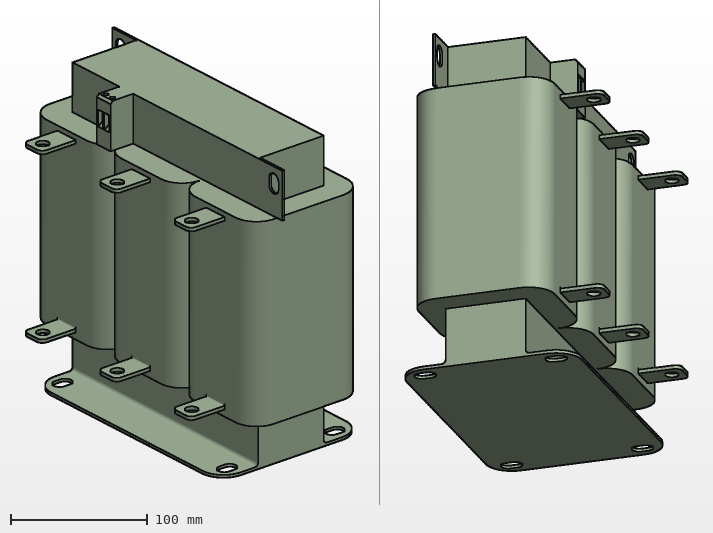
import cadquery as cq

height = 250.8
overall_depth = 154.5
core_length = 214.5
core_depth = 62.0

coil_count = 3
coil_row_length = 257.8
coil_pitch = coil_row_length / coil_count
coil_depth = 105.3
coil_center_y = -1.4
coil_corner_radius = 20.0
coil_bottom_z = 45.4
coil_top_z = 210.5
coil_front_y = coil_center_y - coil_depth / 2
coil_centers_x = [(i - (coil_count - 1) / 2) * coil_pitch for i in range(coil_count)]

base_depth = 135.5
base_center_y = 0.3
base_thickness = 2.5
base_corner_radius = 20.0
base_bend_radius = 3.0

slot_width = 11.0
slot_length = 16.2
base_slot_x = 95.0
base_slot_y = 50.8

flange_span = 270.0
flange_thickness = 2.0
flange_slot_x = 125.3
flange_slot_z = height - 13.8

lug_width = 21.0
lug_thickness = 3.0
lug_tip_y = base_center_y + base_depth / 2 - overall_depth
lug_corner_radius = 5.0
lug_hole_diameter = 10.0
lug_hole_from_tip = 10.0
lug_root_fillet = 1.0
upper_lug_z = 205.0
lower_lug_z = 52.6
lug_embed = 2.7
lower_lug_top_z = lower_lug_z + lug_thickness / 2

connector_width = 16.0
connector_center_x = -45.0
connector_front_y = -52.5
connector_chamfer = 2.2
screw_pitch = 7.5
screw_hole_diameter = 4.0
screw_hole_depth = 2.7
screw_hole_from_front = 5.5
entry_pitch = 7.3
entry_width = 5.5
entry_top_z = height - 11.5
entry_bottom_z = height - 25.5
entry_floor_width = 3.0
entry_floor_top_z = height - 14.0
entry_floor_bottom_z = height - 21.5
entry_depth = 3.0


def box_between(x0, x1, y0, y1, z0, z1):
    return cq.Workplane("XY").box(x1 - x0, y1 - y0, z1 - z0, centered=False).translate((x0, y0, z0))


def make_core():
    return cq.Workplane("XY").box(core_length, core_depth, height, centered=(True, True, False))


def make_coil(center_x):
    return (
        cq.Workplane("XY", origin=(center_x, coil_center_y, coil_bottom_z))
        .rect(coil_pitch, coil_depth)
        .extrude(coil_top_z - coil_bottom_z)
        .edges("|Z")
        .fillet(coil_corner_radius)
    )


def make_base():
    plate = (
        cq.Workplane("XY")
        .rect(core_length, base_depth)
        .extrude(base_thickness)
        .edges("|Z")
        .fillet(base_corner_radius)
    )
    slots = (
        cq.Workplane("XY")
        .rect(2 * base_slot_x, 2 * base_slot_y, forConstruction=True)
        .vertices()
        .slot2D(slot_length, slot_width, 90)
        .extrude(base_thickness)
    )
    return plate.cut(slots).translate((0, base_center_y, 0))


def make_root_fillet(center_x, length, wall_y, side, floor_z, radius):
    """Concave strip along X where a flat top at floor_z meets a wall facing the given side of Y."""
    return (
        cq.Workplane("YZ", origin=(center_x - length / 2, 0, 0))
        .moveTo(wall_y, floor_z)
        .lineTo(wall_y + side * radius, floor_z)
        .radiusArc((wall_y, floor_z + radius), side * radius)
        .close()
        .extrude(length)
    )


def make_flange(side):
    """Slotted ear on one end of the top yoke: front face on the right (+1), back face on the left (-1)."""
    outer_y = -side * core_depth / 2
    inner_y = outer_y + side * flange_thickness
    x0, x1 = sorted((0, side * flange_span / 2))
    y0, y1 = sorted((outer_y, inner_y))
    ear = box_between(x0, x1, y0, y1, coil_top_z, height)
    slot = (
        cq.Workplane("XZ", origin=(side * flange_slot_x, y1, flange_slot_z))
        .slot2D(slot_length, slot_width, 90)
        .extrude(flange_thickness)
    )
    return ear.cut(slot)


def make_lug(center_x, center_z):
    root_y = coil_front_y + lug_embed
    length = root_y - lug_tip_y
    return (
        cq.Workplane("XY", origin=(center_x, (root_y + lug_tip_y) / 2, center_z - lug_thickness / 2))
        .rect(lug_width, length)
        .extrude(lug_thickness)
        .edges("|Z and <Y")
        .fillet(lug_corner_radius)
        .faces(">Z")
        .workplane(origin=(center_x, lug_tip_y + lug_hole_from_tip, 0))
        .hole(lug_hole_diameter)
    )


def make_connector():
    half_width = connector_width / 2
    block = (
        cq.Workplane("YZ", origin=(connector_center_x - half_width, 0, 0))
        .moveTo(0, coil_top_z)
        .lineTo(connector_front_y, coil_top_z)
        .lineTo(connector_front_y, height - connector_chamfer)
        .lineTo(connector_front_y + connector_chamfer, height)
        .lineTo(0, height)
        .close()
        .extrude(connector_width)
    )
    for side in (-1, 1):
        entry_x = connector_center_x + side * entry_pitch / 2
        screw_x = connector_center_x + side * screw_pitch / 2
        block = block.cut(make_wire_entry(entry_x)).cut(make_screw_hole(screw_x))
    return block


def make_wire_entry(center_x):
    """Tapered pocket in the connector face, narrowing toward its floor."""
    mouth_z = (entry_top_z + entry_bottom_z) / 2
    floor_z = (entry_floor_top_z + entry_floor_bottom_z) / 2
    return (
        cq.Workplane("XZ", origin=(center_x, connector_front_y, mouth_z))
        .rect(entry_width, entry_top_z - entry_bottom_z)
        .workplane(offset=-entry_depth)
        .center(0, floor_z - mouth_z)
        .rect(entry_floor_width, entry_floor_top_z - entry_floor_bottom_z)
        .loft(ruled=True)
    )


def make_screw_hole(center_x):
    return (
        cq.Workplane("XY", origin=(center_x, connector_front_y + screw_hole_from_front, height))
        .circle(screw_hole_diameter / 2)
        .extrude(-screw_hole_depth)
    )


result = make_core().union(make_base())
for side in (-1, 1):
    base_bend = make_root_fillet(0, core_length, side * core_depth / 2, side, base_thickness, base_bend_radius)
    result = result.union(base_bend).union(make_flange(side))
for coil_x in coil_centers_x:
    result = result.union(make_coil(coil_x))
    for lug_z in (lower_lug_z, upper_lug_z):
        result = result.union(make_lug(coil_x, lug_z))
    lug_fillet = make_root_fillet(coil_x, lug_width, coil_front_y, -1, lower_lug_top_z, lug_root_fillet)
    result = result.union(lug_fillet)
result = result.union(make_connector())